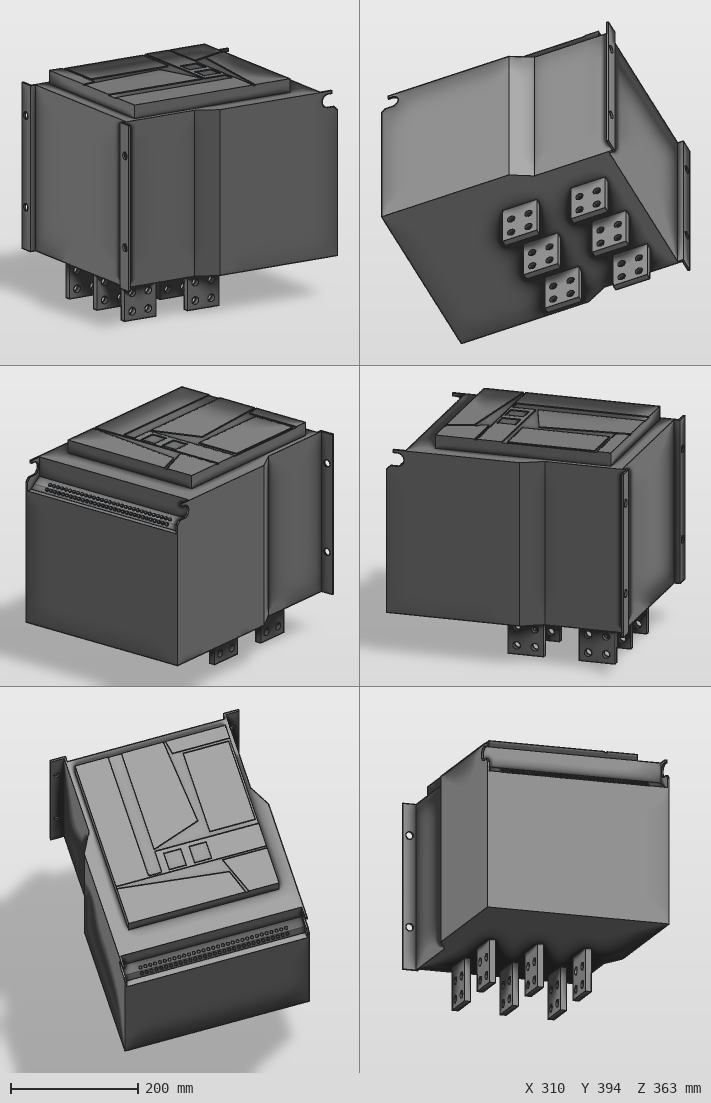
import cadquery as cq

total_depth = 394
total_height = 363.0
flange_span = 310.0
bar_drop = 70.0
panel_height = 22.0
case_height = total_height - bar_drop - panel_height

sheet = 3.0
front_width = 266.0
rear_width = 303.5
flare_start = 138
flare_end = 173.8
front_wall_y = 10.0
top_rear_y = 363.0

slope_top_z = case_height - 32.7
fold_y = 377.0
slope_end_y = 384.0
upper_drop = 8.5
lower_drop = 6.7
stud_count = 31
stud_span = 239.5
stud_diameter = 4.7
stud_height = 2.5
upper_stud_setback = 4.7
lower_stud_setback = 2.8

notch_radius = 11.0
notch_y = 376.3
notch_z = case_height - 15.8
hook_tip_y = 383.0
notch_chamfer = 6.5

hole_diameter = 12.2
flange_hole_span = 287.5
flange_hole_zs = (69.5, 219.0)
bar_width = 59
bar_thickness = 10.2
bar_pitch_x = 80.0
bar_ys = (67, 185)
bar_hole_pitch = 30.0
bar_hole_center_z = -40.5

panel_width = 247.5
panel_front_y = 31.5
panel_rear_y = 322.3
relief = 1.5
panel_half = panel_width / 2
panel_top_z = case_height + panel_height
band_front_y = 212.0
band_rear_y = 253.7
window_width = 28.0
window_length = 30.0
window_pitch = 41.8
window_y = 234.5
channel_left_x = 47.3
channel_right_x = 69.5
channel_rear_y = 250.5
channel_fillet = 3.0

rear_left_pad_y = 257.3
front_left_pad_y = 54.8
label_left_x = -120.5
label_right_x = -45.7
label_front_y = 59.5
label_rear_y = 203.7
rear_left_pad = [
    (-panel_half, panel_rear_y),
    (-74.0, panel_rear_y),
    (-50.5, rear_left_pad_y),
    (-panel_half, rear_left_pad_y),
]
rear_right_pad = [
    (-69.0, panel_rear_y),
    (-54.8, 280.0),
    (panel_half, 257.5),
    (panel_half, panel_rear_y),
]
front_left_pad = [
    (-panel_half, panel_front_y),
    (-panel_half, front_left_pad_y),
    (-29.5, front_left_pad_y),
    (-25.2, panel_front_y),
]
front_middle_pad = [
    (-21.5, panel_front_y),
    (-33.0, 180.0),
    (channel_left_x, 208.5),
    (channel_left_x, panel_front_y),
]
label_pad = [
    (label_left_x, label_front_y),
    (label_right_x, label_front_y),
    (label_right_x, label_rear_y),
    (label_left_x, label_rear_y),
]


def block(x0, x1, y0, y1, z0, z1):
    """Box between opposite corners."""
    return cq.Workplane("XY").box(x1 - x0, y1 - y0, z1 - z0, centered=False).translate((x0, y0, z0))


def both_sides(shape):
    """The shape together with its mirror image across X = 0."""
    return shape.union(shape.mirror("YZ"))


def side_outline(inset):
    """Points along the flared +X side, front to rear, moved inwards by the inset."""
    front_x = front_width / 2 - inset
    rear_x = rear_width / 2 - inset
    return [
        (front_x, 0),
        (front_x, flare_start),
        (rear_x, flare_end),
        (rear_x, total_depth),
    ]


def make_case():
    """Case between the side plates, stepping down behind to a folded slope and a ledge."""
    right = side_outline(sheet)
    left = [(-x, y) for x, y in reversed(right)]
    plan = cq.Workplane("XY").polyline(right + left).close().extrude(case_height)
    fold_z = slope_top_z - upper_drop
    ledge_z = fold_z - lower_drop
    section = [
        (front_wall_y, 0),
        (front_wall_y, case_height),
        (top_rear_y, case_height),
        (top_rear_y, slope_top_z),
        (fold_y, fold_z),
        (slope_end_y, ledge_z),
        (total_depth, ledge_z),
        (total_depth, 0),
    ]
    profile = cq.Workplane("YZ").polyline(section).close().extrude(rear_width / 2, both=True)
    return plan.intersect(profile)


def make_studs():
    """Two rows of short round studs, one row on each face of the folded slope."""
    pitch = stud_span / (stud_count - 1)
    faces = (
        (-upper_stud_setback, upper_drop / (fold_y - top_rear_y)),
        (lower_stud_setback, lower_drop / (slope_end_y - fold_y)),
    )
    studs = cq.Workplane("XY")
    for offset, slope in faces:
        center = (0, fold_y + offset, slope_top_z - upper_drop - slope * offset)
        face = cq.Plane(origin=center, xDir=(1, 0, 0), normal=(0, slope, 1))
        row = cq.Workplane(face).rarray(pitch, 4, stud_count, 1).circle(stud_diameter / 2)
        studs = studs.add(row.extrude(stud_height))
    return studs


def make_side_plate():
    """Flared +X side plate with its hook notch and its drilled front flange."""
    outline = side_outline(0) + side_outline(sheet)[::-1]
    plate = cq.Workplane("XY").polyline(outline).close().extrude(case_height)

    notch_top = notch_z + notch_radius
    notch_bottom = notch_z - notch_radius
    notch = (
        cq.Workplane("YZ")
        .moveTo(hook_tip_y, case_height)
        .lineTo(hook_tip_y, notch_top)
        .lineTo(notch_y, notch_top)
        .threePointArc((notch_y - notch_radius, notch_z), (notch_y, notch_bottom))
        .lineTo(total_depth - notch_chamfer, notch_bottom)
        .lineTo(total_depth, notch_bottom - notch_chamfer)
        .lineTo(total_depth, case_height)
        .close()
        .extrude(rear_width)
    )

    flange = block(front_width / 2 - sheet, flange_span / 2, 0, sheet, 0, case_height)
    holes = (
        cq.Workplane("XZ")
        .pushPoints([(flange_hole_span / 2, z) for z in flange_hole_zs])
        .circle(hole_diameter / 2)
        .extrude(-sheet)
    )
    return plate.cut(notch).union(flange.cut(holes))


def make_bar(x, y):
    """Connection bar hanging below the case, with four cross holes."""
    half = bar_thickness / 2
    bar = block(x - half, x + half, y - bar_width / 2, y + bar_width / 2, -bar_drop, 0)
    holes = (
        cq.Workplane("YZ", origin=(x - half, y, bar_hole_center_z))
        .rarray(bar_hole_pitch, bar_hole_pitch, 2, 2)
        .circle(hole_diameter / 2)
        .extrude(bar_thickness)
    )
    return bar.cut(holes)


def pad(points):
    """Raised polygon on the face of the panel."""
    return cq.Workplane("XY", origin=(0, 0, panel_top_z - relief)).polyline(points).close().extrude(relief)


def make_panel():
    """Panel base carrying raised pads; everything between the pads is one lower level."""
    base_z = panel_top_z - relief
    panel = block(-panel_half, panel_half, panel_front_y, panel_rear_y, case_height, base_z)

    outlines = (rear_left_pad, rear_right_pad, front_left_pad, front_middle_pad, label_pad)
    for outline in outlines:
        panel = panel.union(pad(outline))

    band = block(-panel_half, panel_half, band_front_y, band_rear_y, base_z, panel_top_z)
    right_area = block(channel_right_x, panel_half, panel_front_y, band_rear_y, base_z, panel_top_z)
    channel = block(channel_left_x, channel_right_x, panel_front_y, channel_rear_y, base_z, panel_top_z)
    channel = channel.edges("|Z and >Y").fillet(channel_fillet)
    windows = (
        cq.Workplane("XY", origin=(0, window_y, base_z))
        .rarray(window_pitch, 4, 2, 1)
        .rect(window_width, window_length)
        .extrude(relief)
    )
    return panel.union(band.union(right_area).cut(channel).cut(windows))


result = make_case().union(make_studs()).union(both_sides(make_side_plate())).union(make_panel())
for bar_y in bar_ys:
    for bar_x in (-bar_pitch_x, 0, bar_pitch_x):
        result = result.union(make_bar(bar_x, bar_y))